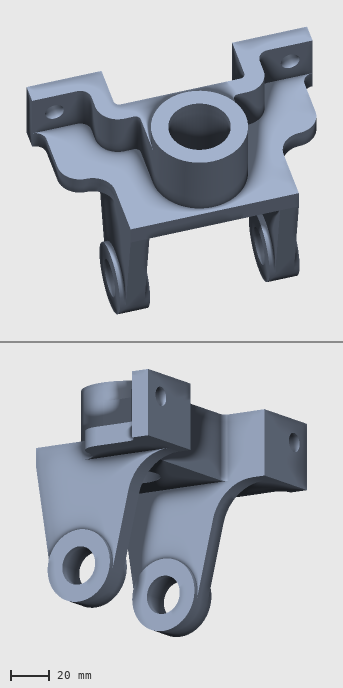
import cadquery as cq
import math

length = 88.0
width = 150.0
thickness = 10.0
wall_height = 35.0

pocket_depth = 25.0
wall_outer_y = 45.0
pocket_half_width = wall_outer_y - thickness
pocket_radius = 3.0
wall_inner_radius = 6.0
wall_outer_radius = 12.0
web_radius = 3.0
mount_hole_diameter = 10.0
mount_hole_spacing = 126.0
mount_hole_z = 22.8

bore_x = 60.0
boss_diameter = 50.0
boss_radius = boss_diameter / 2
boss_top = 45.0
bore_radius = 16.0

plate_shoulder_x = 48.0
plate_shoulder_y = width / 2 - wall_inner_radius
plate_radius = (plate_shoulder_y - wall_outer_y) / 2

lug_radius = 19.0
lug_hole_radius = 10.0
lug_z = -56.0
lug_overhang = 3.0
arm_root_x = 27.0
arm_root_radius = 25.0


def rounded_outline(workplane, corners):
    """Close an outline through (x, y, radius) corners, rounding each one that has a radius."""
    stretches = []
    for index, (x, y, radius) in enumerate(corners):
        corner = cq.Vector(x, y)
        if radius == 0:
            stretches.append([corner])
            continue
        before = corners[index - 1]
        after = corners[(index + 1) % len(corners)]
        to_before = (cq.Vector(before[0], before[1]) - corner).normalized()
        to_after = (cq.Vector(after[0], after[1]) - corner).normalized()
        half_angle = to_before.getAngle(to_after) / 2
        setback = radius / math.tan(half_angle)
        middle_distance = radius / math.sin(half_angle) - radius
        bisector = (to_before + to_after).normalized()
        start = corner + to_before * setback
        middle = corner + bisector * middle_distance
        end = corner + to_after * setback
        stretches.append([start, middle, end])

    tolerance = 1.5e-06
    position = stretches[0][-1]
    outline = workplane.moveTo(position.x, position.y)
    for stretch in stretches[1:] + stretches[:1]:
        start = stretch[0]
        if (start - position).Length > tolerance:
            outline = outline.lineTo(start.x, start.y)
        if len(stretch) > 1:
            outline = outline.threePointArc(stretch[1].toTuple()[:2], stretch[2].toTuple()[:2])
        position = stretch[-1]
    return outline.close()


def symmetric_prism(half_corners, height):
    """Extrude an outline given by its +Y half upward from Z = 0."""
    other_half = [(x, -y, radius) for x, y, radius in reversed(half_corners)]
    return rounded_outline(cq.Workplane("XY"), half_corners + other_half).extrude(height)


def make_wall():
    wall_outer_x = pocket_depth + thickness
    return symmetric_prism(
        [
            (pocket_depth, pocket_half_width, pocket_radius),
            (0, pocket_half_width, 0),
            (0, width / 2, 0),
            (thickness, width / 2, 0),
            (thickness, wall_outer_y, wall_inner_radius),
            (wall_outer_x, wall_outer_y, wall_outer_radius),
            (wall_outer_x, boss_radius, web_radius),
            (bore_x, boss_radius, 0),
        ],
        wall_height,
    )


def make_plate():
    return symmetric_prism(
        [
            (pocket_depth, pocket_half_width, pocket_radius),
            (0, pocket_half_width, 0),
            (0, width / 2, 0),
            (thickness, width / 2, 0),
            (thickness, plate_shoulder_y, wall_inner_radius),
            (plate_shoulder_x, plate_shoulder_y, plate_radius),
            (plate_shoulder_x, wall_outer_y, plate_radius),
            (length, wall_outer_y, 0),
        ],
        thickness,
    )


def lug_tangent_point(x, side):
    """Where a line from (x, 0) touches the lug circle; side is -1 for front, 1 for back."""
    offset_x = x - bore_x
    distance = math.hypot(offset_x, lug_z)
    angle = math.atan2(-lug_z, offset_x) - side * math.acos(lug_radius / distance)
    return bore_x + lug_radius * math.cos(angle), lug_z + lug_radius * math.sin(angle)


def make_arm(inner_y):
    """Arm spanning inner_y to inner_y + thickness, with its pivot lug."""
    front_x, front_z = lug_tangent_point(arm_root_x, -1)
    back_x, back_z = lug_tangent_point(length, 1)
    corners = [
        (0, thickness, 0),
        (0, 0, 0),
        (arm_root_x, 0, arm_root_radius),
        (front_x, front_z, 0),
        (bore_x, lug_z, 0),
        (back_x, back_z, 0),
        (length, 0, 0),
        (length, thickness, 0),
    ]
    arm = rounded_outline(cq.Workplane("XZ", origin=(0, inner_y, 0)), corners).extrude(-thickness)
    lug = (
        cq.Workplane("XZ", origin=(bore_x, inner_y - lug_overhang, lug_z))
        .circle(lug_radius)
        .extrude(-(thickness + 2 * lug_overhang))
    )
    return arm.union(lug)


body = make_wall().union(make_plate())
body = body.union(cq.Workplane("XY").center(bore_x, 0).circle(boss_radius).extrude(boss_top))
for inner_y in (pocket_half_width, -wall_outer_y):
    body = body.union(make_arm(inner_y))

bore = cq.Workplane("XY").center(bore_x, 0).circle(bore_radius).extrude(boss_top)
pivot_hole = cq.Workplane("XZ").center(bore_x, lug_z).circle(lug_hole_radius).extrude(width / 2, both=True)
mount_holes = (
    cq.Workplane("YZ")
    .pushPoints([(side * mount_hole_spacing / 2, mount_hole_z) for side in (-1, 1)])
    .circle(mount_hole_diameter / 2)
    .extrude(thickness)
)
result = body.cut(bore).cut(pivot_hole).cut(mount_holes)